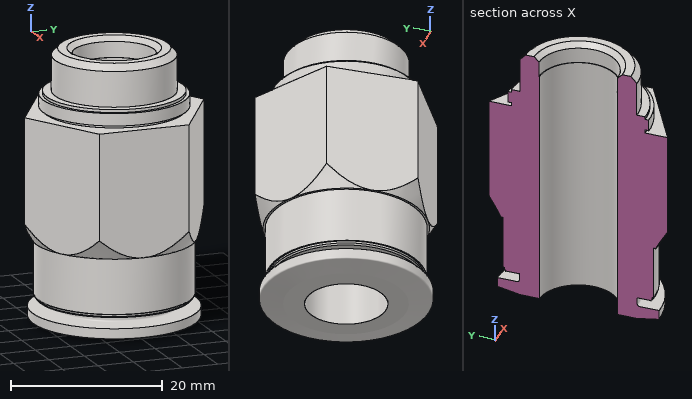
import cadquery as cq
import math

OVERALL_HEIGHT = 37.3
RING_TOP = 2.0
BODY_BOTTOM = 3.2
HEX_BOTTOM = 11.4
HEX_TOP = 29.0
COLLAR_TOP = 31.5

RING_RADIUS = 23.0 / 2
NECK_RADIUS = 16.8 / 2
RING_FACE_RADIUS = 16.6 / 2
RING_CONE_ANGLE = 10.0
RING_EDGE_FILLET = 0.2
NECK_FILLET = 0.3

BODY_RADIUS = 21.4 / 2
LIP_RADIUS = 21.0 / 2
LIP_HEIGHT = 0.5
LIP_CHAMFER = 0.2

HEX_SIDES = 6
HEX_ACROSS_FLATS = 22.0
HEX_CONE_ANGLE = 60.0

COLLAR_RADIUS = 20.0 / 2
COLLAR_STEP_RADIUS = 19.0 / 2
COLLAR_STEP_HEIGHT = 0.4
SPIGOT_RADIUS = 16.66 / 2
SPIGOT_CHAMFER_WIDTH = 0.85
SPIGOT_CHAMFER_HEIGHT = 0.9

BORE_RADIUS = 11.0 / 2
MOUTH_RADIUS = 11.11 / 2
MOUTH_DEPTH = 2.9
MOUTH_CHAMFER = 0.7


def revolve_about_z(profile):
    """Turn a radius-height profile about the Z axis."""
    return profile.close().revolve(360, (0, 0), (0, 1))


def make_push_ring():
    """Flanged ring with a shallow conical underside and a filleted neck."""
    cone_angle = math.radians(RING_CONE_ANGLE)
    cone_rim_height = (RING_RADIUS - RING_FACE_RADIUS) * math.tan(cone_angle)
    edge_angle = math.pi / 2 - cone_angle
    edge_tangent = RING_EDGE_FILLET * math.tan(edge_angle / 2)
    edge_start = (
        RING_RADIUS - edge_tangent * math.cos(cone_angle),
        cone_rim_height - edge_tangent * math.sin(cone_angle),
    )
    edge_end = (RING_RADIUS, cone_rim_height + edge_tangent)
    edge_mid = (
        RING_RADIUS - RING_EDGE_FILLET + RING_EDGE_FILLET * math.cos(edge_angle / 2),
        edge_end[1] - RING_EDGE_FILLET * math.sin(edge_angle / 2),
    )

    fillet_top = RING_TOP + NECK_FILLET
    fillet_centre_radius = NECK_RADIUS + NECK_FILLET
    fillet_mid_offset = NECK_FILLET * math.sqrt(0.5)
    fillet_mid = (fillet_centre_radius - fillet_mid_offset, fillet_top - fillet_mid_offset)

    profile = (
        cq.Workplane("XZ")
        .moveTo(0, 0)
        .lineTo(RING_FACE_RADIUS, 0)
        .lineTo(*edge_start)
        .threePointArc(edge_mid, edge_end)
        .lineTo(RING_RADIUS, RING_TOP)
        .lineTo(fillet_centre_radius, RING_TOP)
        .threePointArc(fillet_mid, (NECK_RADIUS, fillet_top))
        .lineTo(NECK_RADIUS, BODY_BOTTOM)
        .lineTo(0, BODY_BOTTOM)
    )
    return revolve_about_z(profile)


def make_lower_body():
    """Round body under the hexagon, with a chamfered lip."""
    lip_top = BODY_BOTTOM + LIP_HEIGHT
    profile = (
        cq.Workplane("XZ")
        .moveTo(0, BODY_BOTTOM)
        .lineTo(LIP_RADIUS - LIP_CHAMFER, BODY_BOTTOM)
        .lineTo(LIP_RADIUS, BODY_BOTTOM + LIP_CHAMFER)
        .lineTo(LIP_RADIUS, lip_top)
        .lineTo(BODY_RADIUS, lip_top)
        .lineTo(BODY_RADIUS, HEX_BOTTOM)
        .lineTo(0, HEX_BOTTOM)
    )
    return revolve_about_z(profile)


def make_hexagon():
    """Hexagon with flats facing +X and -X, cut by a cone at its lower corners."""
    flat_radius = HEX_ACROSS_FLATS / 2
    corner_radius = flat_radius / math.cos(math.pi / HEX_SIDES)
    cone_height = (corner_radius - flat_radius) * math.tan(math.radians(HEX_CONE_ANGLE))
    prism = (
        cq.Workplane("XY")
        .workplane(offset=HEX_BOTTOM)
        .polygon(HEX_SIDES, 2 * corner_radius)
        .extrude(HEX_TOP - HEX_BOTTOM)
        .rotate((0, 0, 0), (0, 0, 1), 180 / HEX_SIDES)
    )
    envelope = (
        cq.Workplane("XZ")
        .moveTo(0, HEX_BOTTOM)
        .lineTo(flat_radius, HEX_BOTTOM)
        .lineTo(corner_radius, HEX_BOTTOM + cone_height)
        .lineTo(corner_radius, HEX_TOP)
        .lineTo(0, HEX_TOP)
    )
    return prism.intersect(revolve_about_z(envelope))


def make_collar():
    """Sealing collar on the hexagon, stepped in at its lower and upper faces."""
    rim_bottom = HEX_TOP + COLLAR_STEP_HEIGHT
    rim_top = COLLAR_TOP - COLLAR_STEP_HEIGHT
    profile = (
        cq.Workplane("XZ")
        .moveTo(0, HEX_TOP)
        .lineTo(COLLAR_STEP_RADIUS, HEX_TOP)
        .lineTo(COLLAR_STEP_RADIUS, rim_bottom)
        .lineTo(COLLAR_RADIUS, rim_bottom)
        .lineTo(COLLAR_RADIUS, rim_top)
        .lineTo(COLLAR_STEP_RADIUS, rim_top)
        .lineTo(COLLAR_STEP_RADIUS, COLLAR_TOP)
        .lineTo(0, COLLAR_TOP)
    )
    return revolve_about_z(profile)


def make_spigot():
    """Plain cylindrical spigot with a chamfered top edge."""
    profile = (
        cq.Workplane("XZ")
        .moveTo(0, COLLAR_TOP)
        .lineTo(SPIGOT_RADIUS, COLLAR_TOP)
        .lineTo(SPIGOT_RADIUS, OVERALL_HEIGHT - SPIGOT_CHAMFER_HEIGHT)
        .lineTo(SPIGOT_RADIUS - SPIGOT_CHAMFER_WIDTH, OVERALL_HEIGHT)
        .lineTo(0, OVERALL_HEIGHT)
    )
    return revolve_about_z(profile)


def make_bore():
    """Through bore with a wider mouth and a chamfered rim at the top."""
    mouth_bottom = OVERALL_HEIGHT - MOUTH_DEPTH
    profile = (
        cq.Workplane("XZ")
        .moveTo(0, 0)
        .lineTo(BORE_RADIUS, 0)
        .lineTo(BORE_RADIUS, mouth_bottom)
        .lineTo(MOUTH_RADIUS, mouth_bottom)
        .lineTo(MOUTH_RADIUS, OVERALL_HEIGHT - MOUTH_CHAMFER)
        .lineTo(MOUTH_RADIUS + MOUTH_CHAMFER, OVERALL_HEIGHT)
        .lineTo(0, OVERALL_HEIGHT)
    )
    return revolve_about_z(profile)


result = (
    make_push_ring()
    .union(make_lower_body())
    .union(make_hexagon())
    .union(make_collar())
    .union(make_spigot())
    .cut(make_bore())
)